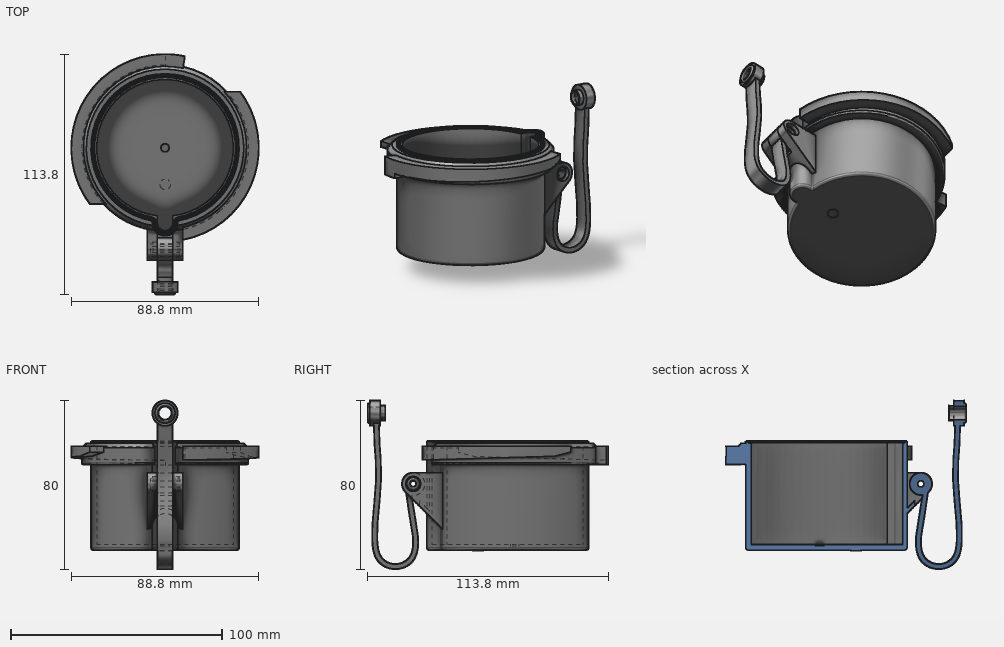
import cadquery as cq
import math

CUP_RADIUS = 35.1
BORE_RADIUS = 32.3
CUP_HEIGHT = 51.8
FLOOR_THICKNESS = 2.7
BOTTOM_FILLET = 1.4

CHANNEL_RADIUS = 6.0
CHANNEL_BORE_RADIUS = 3.6
CHANNEL_Y = -35.5
NECK_RADIUS = 0.6

RIDGE_WIDTH = 1.1
RIDGE_BEVEL = 0.6
LEDGE_DEPTH = 1.0

DIMPLE_RADIUS = 1.9
DIMPLE_DEPTH = 0.6
FOOT_RADIUS = 2.5
FOOT_HEIGHT = 0.3
FOOT_Y = -17.2

FLANGE_RADIUS = 39.4
FLANGE_BOTTOM = 40.5
FLANGE_TOP = 50.7
FLANGE_CHAMFER = 2.2
FLANGE_FILLET = 0.9

TAB_RADIUS = 44.4
TAB_TOP = 49.3
TAB_TIP_Y = -26.6
TAB_TIP_BOTTOM = 46.5
TAB_RAMP_Y = -19.1
TAB_RAMP_BOTTOM = 44.5
TAB_THICK_BOTTOM = 42.7
TAB_END_X = 8.4
STOP_END_X = 9.6
STOP_END_SLANT = 8.3

LUG_OUTER_X = 8.4
LUG_RADIUS = 5.4
LUG_ROOT_Y = -32.9
PIVOT_Y = -47.9
PIVOT_Z = 31.4
PIVOT_RADIUS = 3.5
PIVOT_BORE_RADIUS = 1.4
PIVOT_RECESS = 1.5
WEB_END_Y = -45.1
WEB_HEIGHT = 2.5

STRAP_WIDTH = 7.3
STRAP_THICKNESS = 2.5
BAND_START = (-50.3, 29.6)
BAND_START_DIRECTION = (0.1, -1.0)
BAND_FALL = [(-48.7, 17.9), (-47.2, 9.7)]
BAND_RISE = [(-66.1, 5.6), (-64.3, 32.9), (-64.3, 39.8)]
BAND_END = (-65.3, 60.6)
BAND_END_DIRECTION = (0.0, 1.0)
LOOP_RADIUS = 9.7
LOOP_Y = -56.4
LOOP_Z = 1.9

RING_RADIUS = 6.0
RING_BACK_Y = -63.4
RING_FRONT_Y = -69.4
RING_Z = 64.9
RING_BORE_RADIUS = 3.1
SPIGOT_RADIUS = 3.6
SPIGOT_LENGTH = 2.3

BEAD_WIDTH = 1.7
BEAD_HEIGHT = 1.0
BEAD_FILLET = 0.84


def cylinder_z(radius, bottom, top, y=0):
    return cq.Workplane("XY", origin=(0, y, bottom)).circle(radius).extrude(top - bottom)


def cylinder_x(radius, x_from, x_to):
    """Cylinder along X on the pivot axis."""
    return cq.Workplane("YZ", origin=(x_from, PIVOT_Y, PIVOT_Z)).circle(radius).extrude(x_to - x_from)


def cylinder_y(radius, y_back, y_front):
    """Cylinder along -Y on the plug ring axis."""
    return cq.Workplane("XZ", origin=(0, y_back, RING_Z)).circle(radius).extrude(y_back - y_front)


def cup_prism(inset, bottom, top):
    """Prism of the cup outline, moved inwards by inset: a circle, the channel and two neck arcs."""
    cup_r = CUP_RADIUS - inset
    channel_r = CHANNEL_RADIUS - inset
    neck_r = NECK_RADIUS + inset
    to_cup = cup_r + neck_r
    to_channel = channel_r + neck_r
    neck_y = (to_cup**2 - to_channel**2 + CHANNEL_Y**2) / (2 * CHANNEL_Y)
    neck_x = math.sqrt(to_cup**2 - neck_y**2)

    cup_end = (neck_x * cup_r / to_cup, neck_y * cup_r / to_cup)
    channel_end = (
        neck_x * channel_r / to_channel,
        CHANNEL_Y + (neck_y - CHANNEL_Y) * channel_r / to_channel,
    )
    neck_mid = neck_mid_point(neck_x, neck_y, neck_r, cup_end, channel_end)
    return (
        cq.Workplane("XY", origin=(0, 0, bottom))
        .moveTo(*cup_end)
        .threePointArc((0, cup_r), (-cup_end[0], cup_end[1]))
        .threePointArc((-neck_mid[0], neck_mid[1]), (-channel_end[0], channel_end[1]))
        .threePointArc((0, CHANNEL_Y - channel_r), channel_end)
        .threePointArc(neck_mid, cup_end)
        .close()
        .extrude(top - bottom)
    )


def neck_mid_point(neck_x, neck_y, neck_r, start, end):
    """Middle of the short arc from start to end about the neck centre."""
    mid_x = (start[0] + end[0]) / 2 - neck_x
    mid_y = (start[1] + end[1]) / 2 - neck_y
    stretch = neck_r / math.hypot(mid_x, mid_y)
    return (neck_x + mid_x * stretch, neck_y + mid_y * stretch)


def make_flange():
    """Disc with a chamfered top rim and a rounded bottom rim, bored later with the cup."""
    flange = cylinder_z(FLANGE_RADIUS, FLANGE_BOTTOM, FLANGE_TOP)
    return flange.faces(">Z").chamfer(FLANGE_CHAMFER).faces("<Z").fillet(FLANGE_FILLET)


def tab_plan(end_x, end_slant):
    """Plan of a tab on the -X side: the tab disc left of an end line that meets its rim near end_x."""
    lean = 2 * TAB_RADIUS * math.tan(math.radians(end_slant))
    left_of_end = (
        cq.Workplane("XY", origin=(0, 0, FLANGE_BOTTOM))
        .polyline([
            (end_x, TAB_RADIUS),
            (end_x - lean, -TAB_RADIUS),
            (-TAB_RADIUS, -TAB_RADIUS),
            (-TAB_RADIUS, TAB_RADIUS),
        ])
        .close()
        .extrude(TAB_TOP - FLANGE_BOTTOM)
    )
    return left_of_end.intersect(cylinder_z(TAB_RADIUS, FLANGE_BOTTOM, TAB_TOP))


def make_tab(plan):
    """Bayonet tab that gets thinner towards its tip, with a steep lead-in at the tip."""
    wedge = (
        cq.Workplane("YZ", origin=(-TAB_RADIUS, 0, 0))
        .polyline([
            (TAB_RADIUS, TAB_TOP),
            (TAB_TIP_Y, TAB_TOP),
            (TAB_TIP_Y, TAB_TIP_BOTTOM),
            (TAB_RAMP_Y, TAB_RAMP_BOTTOM),
            (TAB_RADIUS, TAB_THICK_BOTTOM),
        ])
        .close()
        .extrude(2 * TAB_RADIUS)
    )
    return wedge.intersect(plan)


def make_tabs():
    stop_plan = tab_plan(STOP_END_X, STOP_END_SLANT)
    tab_with_stop = make_tab(stop_plan)
    stop = stop_plan.intersect(
        cq.Workplane("XY").box(TAB_RADIUS, TAB_RADIUS, TAB_TOP, centered=False)
    )
    plain_tab = make_tab(tab_plan(-TAB_END_X, 0)).rotate((0, 0, 0), (0, 0, 1), 180)
    return tab_with_stop.union(stop).union(plain_tab)


def make_lug(x_from, x_to):
    """Triangular hinge lug: flat top, rounded nose about the pivot, underside at 45 degrees."""
    diagonal = LUG_RADIUS * math.sqrt(0.5)
    nose_bottom_y = PIVOT_Y - diagonal
    nose_bottom_z = PIVOT_Z - diagonal
    return (
        cq.Workplane("YZ", origin=(x_from, 0, 0))
        .moveTo(LUG_ROOT_Y, PIVOT_Z + LUG_RADIUS)
        .lineTo(PIVOT_Y, PIVOT_Z + LUG_RADIUS)
        .threePointArc((PIVOT_Y - LUG_RADIUS, PIVOT_Z), (nose_bottom_y, nose_bottom_z))
        .lineTo(LUG_ROOT_Y, nose_bottom_z - (LUG_ROOT_Y - nose_bottom_y))
        .close()
        .extrude(x_to - x_from)
    )


def make_web():
    """Sloping plate between the lugs, flush with their undersides, from the channel to WEB_END_Y."""
    end_bottom_z = PIVOT_Z - LUG_RADIUS * math.sqrt(2) - (WEB_END_Y - PIVOT_Y)
    root_bottom_z = end_bottom_z - (CHANNEL_Y - WEB_END_Y)
    return (
        cq.Workplane("YZ", origin=(-STRAP_WIDTH / 2, 0, 0))
        .polyline([
            (WEB_END_Y, end_bottom_z),
            (WEB_END_Y, end_bottom_z + WEB_HEIGHT),
            (CHANNEL_Y, root_bottom_z + WEB_HEIGHT),
            (CHANNEL_Y, root_bottom_z),
        ])
        .close()
        .extrude(STRAP_WIDTH)
    )


def make_cup_bore():
    """Round inside of the cup with the channel slot opening into it."""
    slot = (
        cq.Workplane("XY", origin=(0, CHANNEL_Y / 2, FLOOR_THICKNESS))
        .rect(2 * CHANNEL_BORE_RADIUS, -CHANNEL_Y)
        .extrude(CUP_HEIGHT - FLOOR_THICKNESS)
    )
    return (
        cylinder_z(BORE_RADIUS, FLOOR_THICKNESS, CUP_HEIGHT)
        .union(slot)
        .union(cylinder_z(CHANNEL_BORE_RADIUS, FLOOR_THICKNESS, CUP_HEIGHT, CHANNEL_Y))
    )


def make_rim_recess():
    """Recess that sinks the rim inside the ridge to a ledge, with a bevel at the foot of its wall."""
    recess = cup_prism(RIDGE_WIDTH, CUP_HEIGHT - LEDGE_DEPTH, CUP_HEIGHT)
    return recess.faces("<Z").chamfer(RIDGE_BEVEL)


def make_cup():
    cup = cup_prism(0, 0, CUP_HEIGHT)
    cup = cup.faces(">Z").chamfer(RIDGE_BEVEL).faces("<Z").fillet(BOTTOM_FILLET)
    cup = cup.union(make_flange()).union(make_tabs())
    cup = cup.union(make_lug(-LUG_OUTER_X, -STRAP_WIDTH / 2))
    cup = cup.union(make_lug(STRAP_WIDTH / 2, LUG_OUTER_X))
    cup = cup.union(make_web())
    cup = cup.union(cylinder_z(FOOT_RADIUS, -FOOT_HEIGHT, BOTTOM_FILLET, FOOT_Y))
    cup = cup.cut(make_cup_bore()).cut(make_rim_recess())
    cup = cup.cut(cylinder_z(DIMPLE_RADIUS, FLOOR_THICKNESS - DIMPLE_DEPTH, FLOOR_THICKNESS))
    return cup.cut(cylinder_x(PIVOT_RADIUS, -LUG_OUTER_X, LUG_OUTER_X))


def make_pivot():
    """Eye between the lugs, with a journal in each lug and a bead around each bore mouth."""
    half_width = STRAP_WIDTH / 2
    bead_end = LUG_OUTER_X - PIVOT_RECESS
    bead_start = bead_end - BEAD_HEIGHT
    bead_radius = PIVOT_BORE_RADIUS + BEAD_WIDTH
    core = cylinder_x(bead_radius, -bead_end, bead_end).cut(
        cylinder_x(PIVOT_BORE_RADIUS, -bead_end, bead_end)
    )
    core = core.faces("<X or >X").edges().fillet(BEAD_FILLET)
    journal = cylinder_x(PIVOT_RADIUS, -bead_start, bead_start)
    eye = cylinder_x(LUG_RADIUS, -half_width, half_width)
    bore = cylinder_x(PIVOT_BORE_RADIUS, -bead_start, bead_start)
    return eye.union(journal).cut(bore).union(core)


def make_band():
    """Flat band that hangs from the pivot eye, loops round below and rises to the plug ring."""
    diagonal = LOOP_RADIUS * math.sqrt(0.5)
    path = cq.Workplane("YZ").spline(
        [
            BAND_START,
            *BAND_FALL,
            (LOOP_Y + diagonal, LOOP_Z - diagonal),
            (LOOP_Y, LOOP_Z - LOOP_RADIUS),
            (LOOP_Y - diagonal, LOOP_Z - diagonal),
            *BAND_RISE,
            BAND_END,
        ],
        tangents=[BAND_START_DIRECTION, BAND_END_DIRECTION],
    )
    start = cq.Plane(origin=(0, *BAND_START), xDir=(1, 0, 0), normal=(0, *BAND_START_DIRECTION))
    return cq.Workplane(start).rect(STRAP_WIDTH, STRAP_THICKNESS).sweep(path)


def make_plug_bead():
    """Tube that lines the plug bore and ends in a rounded bead at the front mouth."""
    bead = cylinder_y(RING_BORE_RADIUS + BEAD_WIDTH, RING_BACK_Y, RING_FRONT_Y)
    bead = bead.cut(cylinder_y(RING_BORE_RADIUS, RING_BACK_Y, RING_FRONT_Y))
    return bead.faces("<Y").edges().fillet(BEAD_FILLET)


def make_strap():
    """Band with the pivot eye at one end and the bored plug ring, with its spigot, at the other."""
    spigot_back_y = RING_BACK_Y + SPIGOT_LENGTH
    ring_face_y = RING_FRONT_Y + BEAD_HEIGHT
    ring = cylinder_y(RING_RADIUS, RING_BACK_Y, ring_face_y)
    spigot = cylinder_y(SPIGOT_RADIUS, spigot_back_y, RING_BACK_Y)
    strap = make_band().union(ring).union(spigot)
    strap = strap.cut(cylinder_y(RING_BORE_RADIUS, spigot_back_y, ring_face_y))
    return strap.union(make_plug_bead()).union(make_pivot())


cup = make_cup()
strap = make_strap()
result = cq.Compound.makeCompound([cup.val(), strap.val()])